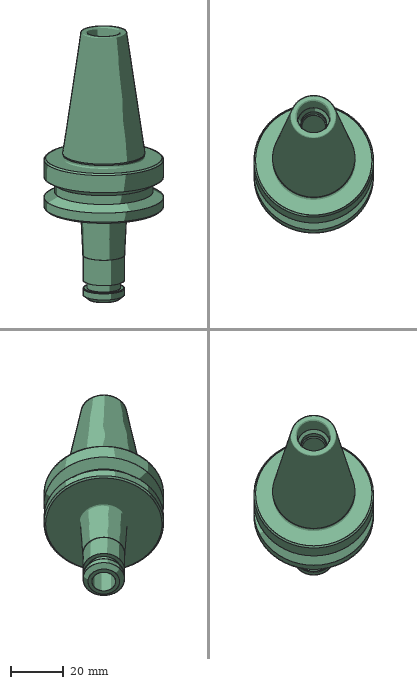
import cadquery as cq
import math

total_height = 106.4
taper_base_z = 58.0
neck_z = 57.3
flange_top_z = 56.1
flange_bottom_z = 36.2
grip_groove_top_z = 46.3
grip_groove_bottom_z = 42.8
nose_cone_bottom_z = 17.5
clip_groove_top_z = 7.3
clip_groove_bottom_z = 4.4

taper_base_radius = 31.7 / 2
taper_slope = 7 / 48
taper_top_radius = taper_base_radius - (total_height - taper_base_z) * taper_slope
taper_top_fillet = 0.4
neck_radius = 15.5
neck_fillet = 0.7

flange_radius = 46.0 / 2
flange_chamfer = 0.6
grip_groove_radius = 38.0 / 2
grip_groove_side_angle = 30
grip_side_rise = (flange_radius - grip_groove_radius) * math.tan(math.radians(grip_groove_side_angle))

nose_root_radius = 8.9
nose_fillet = 0.7
nose_cone_end_radius = 8.1
nose_radius = 16.0 / 2
clip_groove_radius = 13.0 / 2
clip_groove_chamfer = 0.3
nose_end_radius = 6.1
nose_end_bevel_height = 1.6

diagonal = 1 - math.sqrt(0.5)

through_radius = 9.0 / 2
step_radius = 10.0 / 2
step_depth = 10.6
counterbore_radius = 12.5 / 2
counterbore_depth = 7.1
mouth_fillet = 0.7
counterbore_end_z = total_height - counterbore_depth
step_end_z = total_height - step_depth


def make_body():
    """Revolve the outer profile, drawn from the nose end up, and round the taper's top rim."""
    nose_fillet_z = flange_bottom_z - nose_fillet
    neck_fillet_z = flange_top_z + neck_fillet
    return (
        cq.Workplane("XZ")
        .moveTo(0, 0)
        .lineTo(nose_end_radius, 0)
        .lineTo(nose_radius, nose_end_bevel_height)
        .lineTo(nose_radius, clip_groove_bottom_z - clip_groove_chamfer)
        .lineTo(nose_radius - clip_groove_chamfer, clip_groove_bottom_z)
        .lineTo(clip_groove_radius, clip_groove_bottom_z)
        .lineTo(clip_groove_radius, clip_groove_top_z)
        .lineTo(nose_radius, clip_groove_top_z)
        .lineTo(nose_radius, nose_cone_bottom_z)
        .lineTo(nose_cone_end_radius, nose_cone_bottom_z)
        .lineTo(nose_root_radius, nose_fillet_z)
        .threePointArc(
            (nose_root_radius + nose_fillet * diagonal, flange_bottom_z - nose_fillet * diagonal),
            (nose_root_radius + nose_fillet, flange_bottom_z),
        )
        .lineTo(flange_radius - flange_chamfer, flange_bottom_z)
        .lineTo(flange_radius, flange_bottom_z + flange_chamfer)
        .lineTo(flange_radius, grip_groove_bottom_z - grip_side_rise)
        .lineTo(grip_groove_radius, grip_groove_bottom_z)
        .lineTo(grip_groove_radius, grip_groove_top_z)
        .lineTo(flange_radius, grip_groove_top_z + grip_side_rise)
        .lineTo(flange_radius, flange_top_z - flange_chamfer)
        .lineTo(flange_radius - flange_chamfer, flange_top_z)
        .lineTo(neck_radius + neck_fillet, flange_top_z)
        .threePointArc(
            (neck_radius + neck_fillet * diagonal, flange_top_z + neck_fillet * diagonal),
            (neck_radius, neck_fillet_z),
        )
        .lineTo(neck_radius, neck_z)
        .lineTo(taper_base_radius, taper_base_z)
        .lineTo(taper_top_radius, total_height)
        .lineTo(0, total_height)
        .close()
        .revolve(360, (0, 0, 0), (0, 1, 0))
        .faces(">Z")
        .edges()
        .fillet(taper_top_fillet)
    )


def make_bore():
    """Revolve the stepped through bore; its diameters join by 45 degree cones."""
    return (
        cq.Workplane("XZ")
        .moveTo(0, 0)
        .lineTo(through_radius, 0)
        .lineTo(through_radius, step_end_z - (step_radius - through_radius))
        .lineTo(step_radius, step_end_z)
        .lineTo(step_radius, counterbore_end_z - (counterbore_radius - step_radius))
        .lineTo(counterbore_radius, counterbore_end_z)
        .lineTo(counterbore_radius, total_height - mouth_fillet)
        .threePointArc(
            (counterbore_radius + mouth_fillet * diagonal, total_height - mouth_fillet * diagonal),
            (counterbore_radius + mouth_fillet, total_height),
        )
        .lineTo(0, total_height)
        .close()
        .revolve(360, (0, 0, 0), (0, 1, 0))
    )


result = make_body().cut(make_bore())